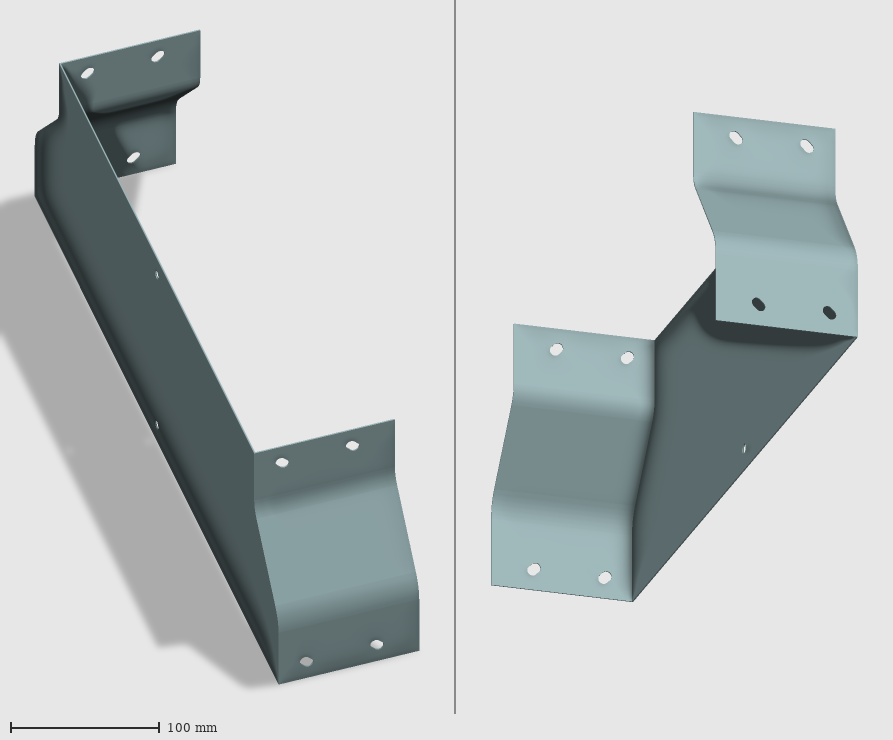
import cadquery as cq
import math

length = 500.0
depth = 100.0
height = 170.0
sheet = 1.0

top_length = 400.0
slope_bottom = 59.0
slope_rise = 60.0
slope_top = slope_bottom + slope_rise
slope_angle = math.atan2((length - top_length) / 2, slope_rise)

lower_bend_radius = 30.0
upper_bend_radius = 20.0

hole_diameter = 7.0
hole_edge_distance = 15.0
hole_heights = (hole_edge_distance, height - hole_edge_distance)

slot_length = 10.5
slot_tilt = 45.0
slot_depth_positions = (20.0, 70.0)


def round_corners(block, half_width, corner_height, radius):
    """Round the two edges along Y that lie at +-half_width and corner_height."""
    margin = 1.0
    box = cq.selectors.BoxSelector(
        (-half_width - margin, -margin, corner_height - margin),
        (half_width + margin, depth + margin, corner_height + margin),
    )
    return block.edges("|Y").edges(box).fillet(radius)


def stepped_block(inset):
    """Solid block with the stepped end profile, both ends moved inward by inset."""
    corner_drop = inset * math.tan(slope_angle / 2)
    lower_half = length / 2 - inset
    upper_half = top_length / 2 - inset
    lower_corner = slope_bottom - corner_drop
    upper_corner = slope_top - corner_drop
    right_end = [
        (lower_half, 0),
        (lower_half, lower_corner),
        (upper_half, upper_corner),
        (upper_half, height),
    ]
    left_end = [(-x, z) for x, z in reversed(right_end)]
    block = cq.Workplane("XZ").polyline(right_end + left_end).close().extrude(-depth)
    block = round_corners(block, lower_half, lower_corner, lower_bend_radius - inset)
    return round_corners(block, upper_half, upper_corner, upper_bend_radius + inset)


def sheet_body():
    """Front plate with a bent flange running back from each end, open at top, bottom and back."""
    cavity = stepped_block(sheet).translate((0, sheet, 0))
    return stepped_block(0).cut(cavity)


def plate_holes():
    """Round holes through the front plate, on its centreline."""
    points = [(0, z) for z in hole_heights]
    return cq.Workplane("XZ").pushPoints(points).circle(hole_diameter / 2).extrude(-depth)


def flange_slots(side):
    """Diagonal slots through one flange: side is -1 for the -X end, +1 for the +X end."""
    points = [(y, z) for y in slot_depth_positions for z in hole_heights]
    slots = cq.Workplane("YZ").pushPoints(points).slot2D(slot_length, hole_diameter, -side * slot_tilt)
    return slots.extrude(side * length / 2)


result = sheet_body().cut(plate_holes())
for flange_side in (-1, 1):
    result = result.cut(flange_slots(flange_side))